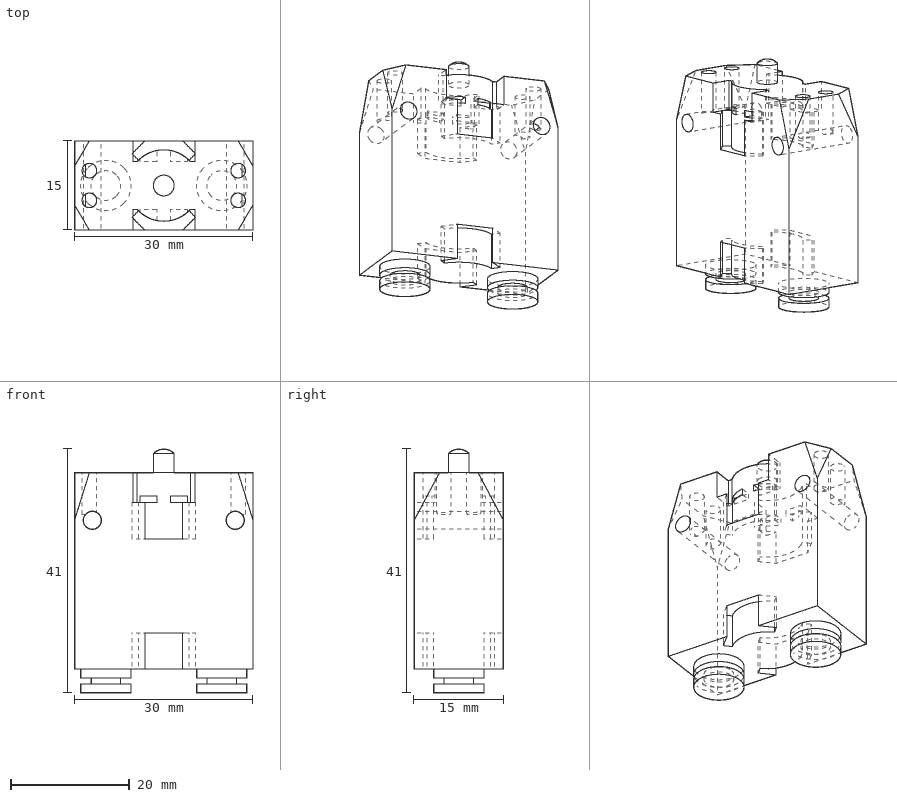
import cadquery as cq
import math

body_length = 30.0
body_width = 15.0
body_height = 33.0
overall_height = 41
half_length = body_length / 2
half_width = body_width / 2

corner_cut_x = 2.5
corner_cut_y = 4.25
corner_cut_z = 8.0

pin_diameter = 3.5
pin_shoulder = 3.25
pin_height = 3.98

port_spacing = 19.48
port_flange_diameter = 8.5
port_neck_diameter = 5.0
port_length = overall_height - body_height - pin_height
port_flange_thickness = 1.5

cross_hole_diameter = 3.0
cross_hole_spacing = 24.03
cross_hole_z = body_height - corner_cut_z

top_hole_diameter = 2.45
top_hole_spacing_x = 25
top_hole_spacing_y = 5.0
top_hole_depth = 7.0

core_diameter = 12.0
notch_width = 10.4
notch_depth_y = 3.5
notch_height = 5.0
notch_floor_z = body_height - notch_height
notch_back_y = half_width - notch_depth_y

channel_mouth_width = 6.35
channel_floor_z = body_height - 11.1
lower_channel_height = 6.03

window_inner_x = 1.15
window_outer_x = 3.98
window_height = 1.1


def cut_corners(block):
    """Slice a triangular pyramid off each upper corner."""
    for side_x in (-1, 1):
        for side_y in (-1, 1):
            corner = cq.Vector(side_x * half_length, side_y * half_width, body_height)
            along_x = corner - cq.Vector(side_x * corner_cut_x, 0, 0)
            along_y = corner - cq.Vector(0, side_y * corner_cut_y, 0)
            below = corner - cq.Vector(0, 0, corner_cut_z)
            triangles = (
                (corner, along_x, along_y),
                (corner, along_x, below),
                (corner, along_y, below),
                (along_x, along_y, below),
            )
            faces = [
                cq.Face.makeFromWires(cq.Wire.makePolygon(list(triangle), close=True))
                for triangle in triangles
            ]
            pyramid = cq.Solid.makeSolid(cq.Shell.makeShell(faces))
            block = block.cut(cq.Workplane(obj=pyramid))
    return block


def box_between(x_min, x_max, y_min, y_max, z_min, z_max):
    box = cq.Workplane("XY").box(x_max - x_min, y_max - y_min, z_max - z_min, centered=False)
    return box.translate((x_min, y_min, z_min))


def wedge_channel(z_min, z_max):
    """Front channel: a diamond-sided wedge from the face to the centre line."""
    half_mouth = channel_mouth_width / 2
    widest = (half_mouth + half_width) / 2
    return (
        cq.Workplane("XY", origin=(0, 0, z_min))
        .polyline([
            (0, 0),
            (widest, -widest),
            (half_mouth, -half_width),
            (-half_mouth, -half_width),
            (-widest, -widest),
        ])
        .close()
        .extrude(z_max - z_min)
    )


def front_recess():
    """Everything removed from the front face around the core."""
    core = cq.Workplane("XY").circle(core_diameter / 2).extrude(body_height)
    notch = box_between(
        -notch_width / 2, notch_width / 2, -half_width, -notch_back_y, notch_floor_z, body_height
    )
    upper_channel = wedge_channel(channel_floor_z, notch_floor_z)
    lower_channel = wedge_channel(0, lower_channel_height)
    recess = notch.union(upper_channel).union(lower_channel).cut(core)
    window_top = notch_floor_z + window_height
    for x_min, x_max in ((-window_outer_x, -window_inner_x), (window_inner_x, window_outer_x)):
        window = box_between(x_min, x_max, -half_width, -notch_back_y, notch_floor_z, window_top)
        recess = recess.union(window)
    return recess


def cross_holes():
    return (
        cq.Workplane("XZ", origin=(0, half_width, cross_hole_z))
        .rarray(cross_hole_spacing, 0.4, 2, 1)
        .circle(cross_hole_diameter / 2)
        .extrude(body_width)
    )


def top_holes():
    return (
        cq.Workplane("XY", origin=(0, 0, body_height))
        .rarray(top_hole_spacing_x, top_hole_spacing_y, 2, 2)
        .circle(top_hole_diameter / 2)
        .extrude(-top_hole_depth)
    )


def pin():
    """Pin on the top face, revolved with a spherical cap."""
    radius = pin_diameter / 2
    dome_height = pin_height - pin_shoulder
    sphere_radius = (radius**2 + dome_height**2) / (2 * dome_height)
    mid_angle = math.asin(radius / sphere_radius) / 2
    sphere_centre_z = pin_height - sphere_radius
    mid_point = (
        sphere_radius * math.sin(mid_angle),
        sphere_centre_z + sphere_radius * math.cos(mid_angle),
    )
    return (
        cq.Workplane("XZ")
        .lineTo(radius, 0)
        .lineTo(radius, pin_shoulder)
        .threePointArc(mid_point, (0, pin_height))
        .close()
        .revolve(360, (0, 0), (0, 1))
        .translate((0, 0, body_height))
    )


def ports():
    """Two ports, each a neck with a flange at both ends."""
    neck = cq.Workplane("XY").circle(port_neck_diameter / 2).extrude(-port_length)
    flange = cq.Workplane("XY").circle(port_flange_diameter / 2).extrude(-port_flange_thickness)
    end_flange = flange.translate((0, 0, port_flange_thickness - port_length))
    port = neck.union(flange).union(end_flange)
    left_port = port.translate((-port_spacing / 2, 0, 0))
    right_port = port.translate((port_spacing / 2, 0, 0))
    return left_port.union(right_port)


body = cq.Workplane("XY").box(body_length, body_width, body_height, centered=(True, True, False))
body = cut_corners(body)
recess = front_recess()
body = body.cut(recess).cut(recess.mirror("XZ"))
body = body.cut(cross_holes()).cut(top_holes())

result = body.union(pin()).union(ports())